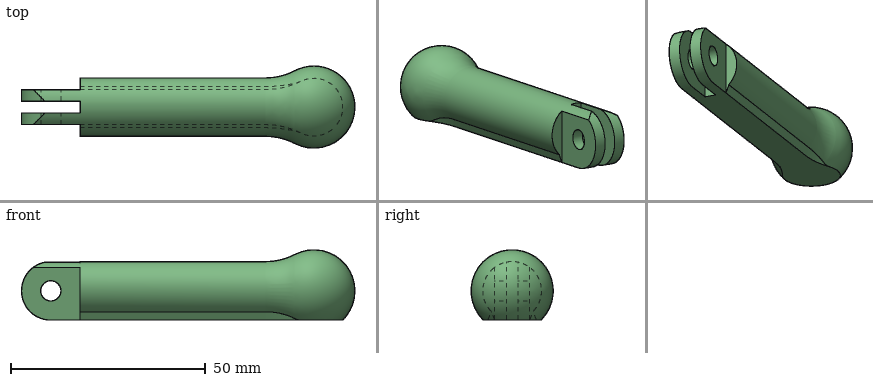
import cadquery as cq
import math

length = 85.6
rod_radius = 15.1 / 2
ball_radius = 21.1 / 2
neck_start = 62.7
pin_diameter = 5.1
tongue_length = 2 * rod_radius
tongue_width = 9.0
slot_width = 3.0
foot_height = 3.4
foot_allowance = 0.85
foot_taper = 20.0
foot_flare_radius = 19.7
foot_end = 71.9

ball_x = length - ball_radius
neck_run = ball_x - neck_start
neck_radius = (neck_run**2 + rod_radius**2 - ball_radius**2) / (2 * (ball_radius - rod_radius))
neck_center_r = rod_radius + neck_radius


def neck_point(angle):
    """Point on the neck arc, with the angle measured from the rod end."""
    return (
        neck_start + neck_radius * math.sin(angle),
        neck_center_r - neck_radius * math.cos(angle),
    )


def make_revolved_body():
    """Rod, flared neck and ball as one revolved profile."""
    neck_angle = math.atan2(neck_run, neck_center_r)
    return (
        cq.Workplane("XY")
        .lineTo(0, rod_radius)
        .lineTo(neck_start, rod_radius)
        .threePointArc(neck_point(neck_angle / 2), neck_point(neck_angle))
        .threePointArc((ball_x, ball_radius), (length, 0))
        .close()
        .revolve(360, (0, 0, 0), (1, 0, 0))
    )


def make_foot():
    """Flat-bottomed foot under the rod, flaring outward below the neck."""
    inset = foot_allowance * math.tan(math.radians(foot_taper))
    half_width = tongue_width / 2 - inset
    arc_radius = foot_flare_radius + inset
    flare_angle = math.asin((foot_end - neck_start) / arc_radius)

    def flare_point(angle, side):
        x = neck_start + arc_radius * math.sin(angle)
        y = half_width + arc_radius * (1 - math.cos(angle))
        return (x, side * y)

    return (
        cq.Workplane("XY", origin=(0, 0, -rod_radius - foot_allowance))
        .moveTo(-foot_height, -half_width)
        .lineTo(neck_start, -half_width)
        .threePointArc(flare_point(flare_angle / 2, -1), flare_point(flare_angle, -1))
        .lineTo(*flare_point(flare_angle, 1))
        .threePointArc(flare_point(flare_angle / 2, 1), (neck_start, half_width))
        .lineTo(-foot_height, half_width)
        .close()
        .extrude(foot_height + foot_allowance, taper=-foot_taper)
    )


def make_floor_cutter():
    """Everything below the flat underside."""
    return cq.Workplane("XY", origin=(-length / 2, 0, -rod_radius - length)).box(
        2 * length, length, length, centered=(False, True, False)
    )


def make_cheek_cutters():
    """Material beside the tongue on both sides."""
    block = cq.Workplane("XY").box(2 * tongue_length, length, length)
    tongue = cq.Workplane("XY").box(2 * tongue_length, tongue_width, length)
    return block.cut(tongue)


def make_end_cutter():
    """Material outside the round end of the tongue."""
    block = cq.Workplane("XY").box(2 * rod_radius, length, length)
    round_end = (
        cq.Workplane("XZ", origin=(rod_radius, 0, 0))
        .circle(rod_radius)
        .extrude(length, both=True)
    )
    return block.cut(round_end)


def make_fork_slot():
    """Slot that splits the tongue into two lugs."""
    return cq.Workplane("XY").box(
        tongue_length, slot_width, 2 * ball_radius, centered=(False, True, True)
    )


def make_pin_hole():
    """Cross hole through both lugs."""
    return (
        cq.Workplane("XZ", origin=(rod_radius, 0, 0))
        .circle(pin_diameter / 2)
        .extrude(tongue_width, both=True)
    )


result = make_revolved_body().union(make_foot())
cutters = (
    make_floor_cutter(),
    make_cheek_cutters(),
    make_end_cutter(),
    make_fork_slot(),
    make_pin_hole(),
)
for cutter in cutters:
    result = result.cut(cutter)